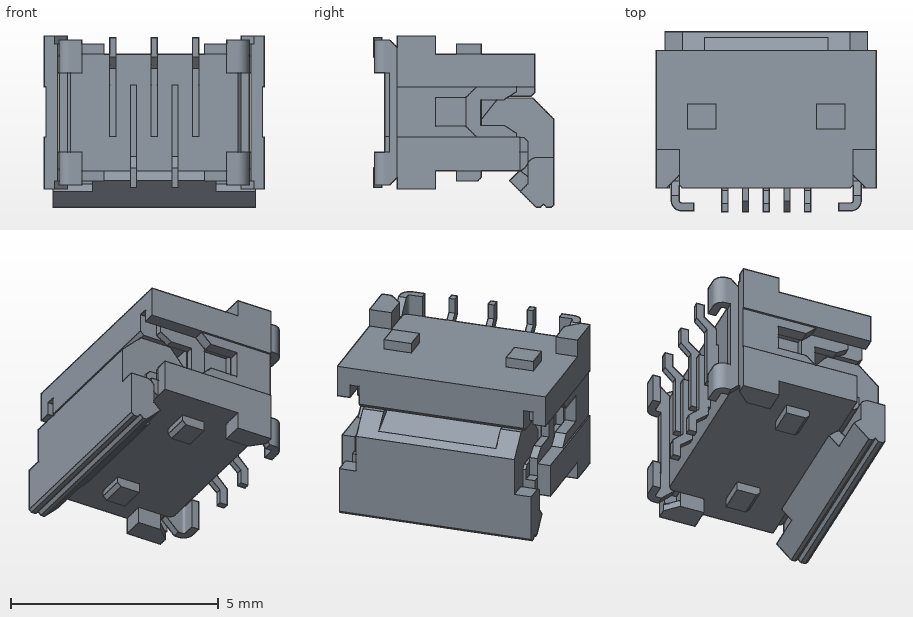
import cadquery as cq


half_width = 2.65
half_height = 1.405
upper_depth = 3.32
lower_wall_depth = 2.96
floor_depth = 3.15
cavity_back = 2.035
cavity_top = 0.385
cavity_floor = -0.6
mouth_chamfer = 0.095
core_round_top = -1.215
core_round_mid = (3.07, -1.335)

slot_outer = 2.325
slot_inner = 2.095
slot_half_height = 0.955
core_corner_chamfer = 0.08

opening_z = 0.015
opening_half = 0.605
window_half = 0.345
taper = opening_half - window_half
window_start = 0.93
window_end = 1.655
band_recess = 0.04

ear_half_height = 1.845
ear_depth = 0.93
ear_chamfer = 0.315
ear_cap = 0.19
ear_notch_top = ear_half_height - ear_cap
ear_notch_bottom = 1.36

boss_x = 1.555
boss_y = 1.73
boss_width = 0.69
boss_depth = 0.605
boss_height = 0.25
boss_chamfer = 0.095

plate_outer = 2.29
plate_thickness = plate_outer - slot_inner
plate_end = 2.865
head_start = 0.175
head_half_height = 1.75
head_bevel = 0.355
head_front = -0.29
web_front = -0.185
tab_tip = 1.745
tab_bend_radius = 0.255
fork_half = 0.31
fork_end = 2.01
fork_mouth_half = 0.5
fork_mouth_start = 2.575
plate_window_half = 0.475

pin_pitch = 0.5
pin_count = 5
pin_width = 0.155
up_pin_tail = (-0.57, 0.66)
down_pin_tail = (-0.915, 0.66)
pin_gap = 0.06
pin_face = -0.3
pin_bend_start = 1.06
pin_foot_front = -0.565
pin_foot_back = -0.365
pin_foot_bend = 1.335
pin_inner_rise = 0.095
pin_top = 1.8

lever_half_width = 2.445
arm_half_width = 2.015
hook_half_width = 1.49
lever_back = 3.775
lever_top = 0.35
lever_bottom = -2.285
lever_bevel_start = 3.265
arm_relief_start = 2.44
arm_relief_bottom = -0.155
shoulder_top = -1.085
shoulder_round_start = 3.325
shoulder_round_mid = (3.23, -1.13)
lever_corner = 0.065
groove_y = 3.525
groove_half_width = 0.075
groove_depth = 0.08
hook_tip = (2.705, -1.64)
hook_top = (2.95, -1.395)
hook_root = (floor_depth, -1.54)
underside_sum = sum(hook_tip)
lever_toe = underside_sum - lever_bottom
hook_web_half_width = 1.06
rear_bevel_start = -1.715
bevel_notch_start = 3.625
bevel_notch_end = 2.86


def extrude_x(outline, x_start, x_end):
    """Extrude a closed (y, z) outline from x_start to x_end."""
    return cq.Workplane("YZ").polyline(outline).close().extrude(x_end - x_start).translate((x_start, 0, 0))


def block(x_range, y_range, z_range):
    """Axis-aligned box from pairs of limits."""
    size = [end - start for start, end in (x_range, y_range, z_range)]
    corner = (x_range[0], y_range[0], z_range[0])
    return cq.Workplane("XY").box(*size, centered=False).translate(corner)


def both_sides(solid):
    """The solid together with its mirror image about x = 0."""
    return solid.union(solid.mirror("YZ"))


def make_core():
    """Inner housing with its mouth cavity and concave lower front edge."""
    outline = (
        cq.Workplane("YZ")
        .moveTo(0, half_height)
        .lineTo(upper_depth, half_height)
        .lineTo(upper_depth, cavity_top + mouth_chamfer)
        .lineTo(upper_depth - mouth_chamfer, cavity_top)
        .lineTo(cavity_back, cavity_top)
        .lineTo(cavity_back, cavity_floor)
        .lineTo(floor_depth - mouth_chamfer, cavity_floor)
        .lineTo(floor_depth, cavity_floor - mouth_chamfer)
        .lineTo(floor_depth, core_round_top)
        .threePointArc(core_round_mid, (lower_wall_depth, -half_height))
        .lineTo(0, -half_height)
        .close()
    )
    return outline.extrude(slot_outer, both=True)


def make_wall():
    """Outer side wall at -X with its stepped opening and shallow band."""
    opening_top = opening_z + opening_half
    opening_bottom = opening_z - opening_half
    x_range = (-half_width, -slot_outer)
    wall = block(x_range, (0, upper_depth), (opening_bottom, half_height))
    wall = wall.union(block(x_range, (0, lower_wall_depth), (-half_height, opening_bottom)))
    opening = [
        (upper_depth, opening_top),
        (window_end + taper, opening_top),
        (window_end, opening_z + window_half),
        (window_start, opening_z + window_half),
        (window_start, opening_z - window_half),
        (window_end, opening_z - window_half),
        (window_end + taper, opening_bottom),
        (upper_depth, opening_bottom),
    ]
    wall = wall.cut(extrude_x(opening, *x_range))
    band_x = (-half_width, -half_width + band_recess)
    return wall.cut(block(band_x, (0, upper_depth), (opening_bottom, opening_top)))


def make_ear(sign):
    """Corner ear at -X, above (sign 1) or below (sign -1), with one end corner cut off its cap."""
    ear = block((-half_width, -slot_inner), (0, ear_depth), (half_height, ear_half_height))
    corner = (
        cq.Workplane("XY", origin=(-slot_inner, 0, ear_notch_top))
        .polyline([(0, 0), (-ear_chamfer, 0), (0, ear_chamfer)])
        .close()
        .extrude(ear_cap)
    )
    ear = ear.cut(corner)
    return ear if sign > 0 else ear.mirror("XY")


def make_boss(sign):
    """Locating boss at -X on the top (sign 1) or bottom (sign -1); bottom ones have a chamfered edge."""
    boss = cq.Workplane("XY").box(boss_width, boss_depth, boss_height)
    if sign < 0:
        boss = boss.faces(">Y").edges("<Z").chamfer(boss_chamfer)
    return boss.translate((-boss_x, boss_y, sign * (half_height + boss_height / 2)))


def make_housing():
    side = make_wall()
    for sign in (1, -1):
        side = side.union(make_ear(sign)).union(make_boss(sign))
    housing = make_core().union(both_sides(side))

    slot_x = (-slot_outer, -slot_inner)
    slot = block(slot_x, (0, upper_depth), (-slot_half_height, slot_half_height))
    slot = slot.union(block(slot_x, (0, head_start), (-half_height, half_height)))
    head_notch = block(slot_x, (0, ear_chamfer), (ear_notch_bottom, ear_notch_top))
    slot = slot.union(head_notch).union(head_notch.mirror("XY"))
    corner = (
        cq.Workplane("XY", origin=(-slot_inner, 0, -half_height))
        .polyline([(0, 0), (core_corner_chamfer, 0), (0, core_corner_chamfer)])
        .close()
        .extrude(2 * half_height)
    )
    return housing.cut(both_sides(slot.union(corner)))


def make_tab(z_start, z_end):
    """Solder tab at -X: bends from the plate edge inwards, parallel to the housing front."""
    inner_radius = tab_bend_radius - plate_thickness
    bend_x = -plate_outer + tab_bend_radius
    plate_inner_x = -plate_outer + plate_thickness
    tab_front = head_front - tab_bend_radius
    diagonal = 0.5 ** 0.5
    return (
        cq.Workplane("XY", origin=(0, 0, z_start))
        .moveTo(-plate_outer, head_front)
        .threePointArc(
            (bend_x - tab_bend_radius * diagonal, head_front - tab_bend_radius * diagonal),
            (bend_x, tab_front),
        )
        .lineTo(-tab_tip, tab_front)
        .lineTo(-tab_tip, tab_front + plate_thickness)
        .lineTo(bend_x, tab_front + plate_thickness)
        .threePointArc(
            (bend_x - inner_radius * diagonal, head_front - inner_radius * diagonal),
            (plate_inner_x, head_front),
        )
        .close()
        .extrude(z_end - z_start)
    )


def make_plate():
    """Hold-down plate at -X: forked at the mouth, windowed, with two solder tabs."""
    bevel_base = head_half_height - head_bevel
    upper_edge = [
        (web_front, slot_half_height),
        (head_front, slot_half_height),
        (head_front, head_half_height),
        (head_start - head_bevel, head_half_height),
        (head_start, bevel_base),
        (head_start, slot_half_height),
        (plate_end, slot_half_height),
        (plate_end, fork_mouth_half),
        (fork_mouth_start, fork_half),
        (fork_end, fork_half),
    ]
    lower_edge = [(y, -z) for y, z in reversed(upper_edge)]
    plate = extrude_x(upper_edge + lower_edge, -plate_outer, -slot_inner)
    window = block(
        (-plate_outer, -slot_inner),
        (window_start, window_end),
        (-plate_window_half, plate_window_half),
    )
    plate = plate.cut(window)
    upper_tab = make_tab(slot_half_height, head_half_height)
    return plate.union(upper_tab).union(upper_tab.mirror("XY"))


def make_pin(x, sign):
    """Pin whose foot points up (sign 1) or down (sign -1)."""
    bottom, top = up_pin_tail if sign > 0 else down_pin_tail
    free_end, foot_end = (bottom, top) if sign > 0 else (-top, -bottom)
    outline = [
        (0, free_end),
        (pin_face, free_end),
        (pin_face, pin_bend_start),
        (pin_foot_front, pin_foot_bend),
        (pin_foot_front, pin_top),
        (pin_foot_back, pin_top),
        (pin_foot_back, pin_foot_bend + pin_inner_rise),
        (-pin_gap, pin_bend_start + pin_inner_rise),
        (-pin_gap, foot_end),
        (0, foot_end),
    ]
    outline = [(y, sign * z) for y, z in outline]
    return extrude_x(outline, x - pin_width / 2, x + pin_width / 2)


def make_actuator():
    """Lever with its arm in the cavity, low shoulders at both ends and a hook under the housing."""
    underside = [
        (lever_back, lever_bottom + lever_corner),
        (lever_back - lever_corner, lever_bottom),
        (groove_y + groove_half_width, lever_bottom),
        (groove_y, lever_bottom + groove_depth),
        (groove_y - groove_half_width, lever_bottom),
        (lever_toe, lever_bottom),
    ]
    bevel_run = (floor_depth + rear_bevel_start - underside_sum) / 2
    rear = [
        (floor_depth - bevel_run, rear_bevel_start - bevel_run),
        (floor_depth, rear_bevel_start),
    ]
    arm = [
        (floor_depth, cavity_floor - mouth_chamfer),
        (floor_depth - mouth_chamfer, cavity_floor),
        (cavity_back, cavity_floor),
        (cavity_back, lever_top),
        (lever_bevel_start, lever_top),
        (lever_back, lever_top - (lever_back - lever_bevel_start)),
    ]
    lever = extrude_x(underside + rear + arm, -arm_half_width, arm_half_width)

    arm_relief = [
        (cavity_back, lever_top),
        (cavity_back, arm_relief_bottom),
        (arm_relief_start, lever_top),
    ]
    lever = lever.cut(both_sides(extrude_x(arm_relief, -arm_half_width, -hook_half_width)))

    hook = [hook_root, hook_top, hook_tip, (lever_toe, lever_bottom)]
    lever = lever.union(extrude_x(hook, -hook_half_width, hook_half_width))

    hook_web = [hook_root, hook_top, (floor_depth, core_round_top)]
    lever = lever.union(extrude_x(hook_web, -hook_web_half_width, hook_web_half_width))

    shoulder = (
        cq.Workplane("YZ")
        .polyline(underside + rear)
        .lineTo(floor_depth, core_round_top)
        .threePointArc(shoulder_round_mid, (shoulder_round_start, shoulder_top))
        .lineTo(lever_back, shoulder_top)
        .close()
        .extrude(lever_half_width, both=True)
    )
    bevel_notch = [
        (bevel_notch_start, lever_top - (bevel_notch_start - lever_bevel_start)),
        (bevel_notch_start, lever_top),
        (bevel_notch_end, lever_top),
    ]
    return lever.union(shoulder).cut(extrude_x(bevel_notch, -hook_half_width, hook_half_width))


result = make_housing().union(both_sides(make_plate())).union(make_actuator())
for index in range(pin_count):
    foot_direction = 1 if index % 2 == 0 else -1
    pin_x = (index - (pin_count - 1) / 2) * pin_pitch
    result = result.union(make_pin(pin_x, foot_direction))